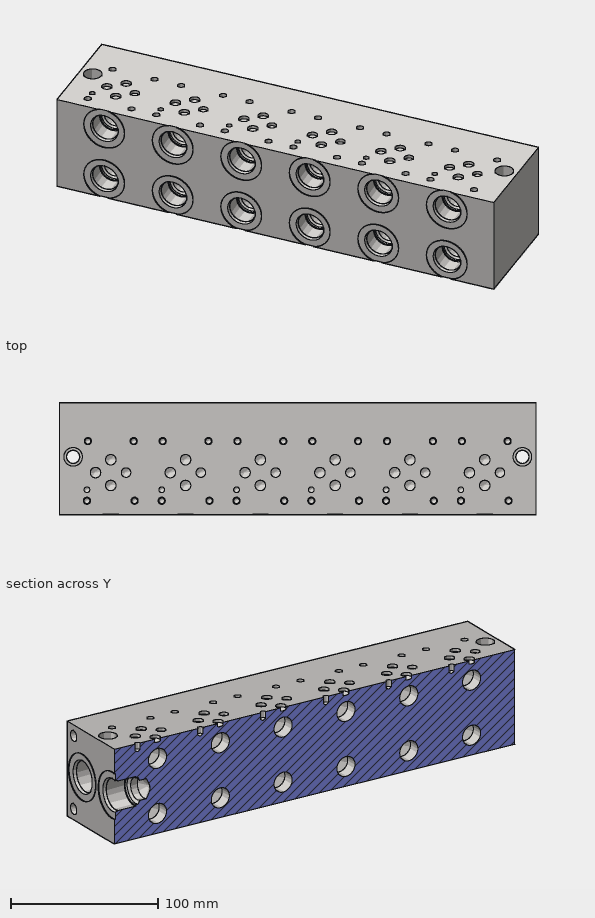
import cadquery as cq
import math

LENGTH = 324.0
WIDTH = 76.0
HEIGHT = 70.0

STATION_COUNT = 6
STATION_SPAN = 254.0
STATION_PITCH = STATION_SPAN / (STATION_COUNT - 1)

DRILL_POINT_ANGLE = 118.0

WORK_ROW_SPACING = 40.5
WORK_PORT_Z = WORK_ROW_SPACING / 2
WORK_SPOTFACE_DIAMETER = 30.0
WORK_SEAT_DIAMETER = 20.5
WORK_SEAT_BOTTOM_DIAMETER = 19.5
WORK_THREAD_DIAMETER = 19.0
WORK_THREAD_DEPTH = 14.2
WORK_MINOR_DIAMETER = 17.5
WORK_DRILL_DIAMETER = 14.2

TANK_PORT_Y = 19.5
PRESSURE_PORT_Y = -17.8
SUPPLY_SPOTFACE_DIAMETER = 34.0
SUPPLY_SEAT_DIAMETER = 24.0
SUPPLY_SEAT_BOTTOM_DIAMETER = 22.7
SUPPLY_THREAD_DIAMETER = 22.5
SUPPLY_THREAD_DEPTH = 17.5
SUPPLY_MINOR_DIAMETER = 20.5
SUPPLY_DRILL_DIAMETER = 16.0

SPOTFACE_DEPTH = 0.5
SEAT_DEPTH = 3.0
TAP_DRILL_ALLOWANCE = 1.5
PORT_DRILL_DEPTH = 26.0

CORNER_HOLE_Y = 29.8
CORNER_HOLE_Z = 27.0
CORNER_THREAD_DIAMETER = 7.8
CORNER_DRILL_DIAMETER = 6.5
CORNER_THREAD_DEPTH = 9.7
CORNER_DRILL_DEPTH = 13.0

REAR_BOLT_Y = 12.0
REAR_BOLT_HALF_SPAN = 15.5
FRONT_BOLT_OFFSET = 40.5
FRONT_BOLT_HALF_SPAN = 16.2
BOLT_THREAD_DIAMETER = 5.0
BOLT_DRILL_DIAMETER = 4.0
BOLT_THREAD_DEPTH = 9.7
BOLT_DRILL_DEPTH = 13.0
PIN_OFFSET = 33.0
PIN_DIAMETER = 4.0
PIN_DEPTH = 5.0
REAR_PASSAGE_OFFSET = 12.5
SIDE_PASSAGE_OFFSET = 21.5
FRONT_PASSAGE_OFFSET = 30.0
SIDE_PASSAGE_HALF_SPAN = 10.5
PASSAGE_DIAMETER = 7.0
SMALL_PASSAGE_DIAMETER = 6.5
PASSAGE_DEPTH = 2.3

MOUNTING_X = 152.5
MOUNTING_Y = 1.3
MOUNTING_DIAMETER = 8.7
COUNTERBORE_DIAMETER = 12.5
COUNTERBORE_DEPTH = 32.5

STATIONS = [-STATION_SPAN / 2 + i * STATION_PITCH for i in range(STATION_COUNT)]

TOP_FACE = cq.Plane(origin=(0, 0, HEIGHT / 2), xDir=(1, 0, 0), normal=(0, 0, 1))
FRONT_FACE = cq.Plane(origin=(0, -WIDTH / 2, 0), xDir=(1, 0, 0), normal=(0, -1, 0))
END_FACE = cq.Plane(origin=(-LENGTH / 2, 0, 0), xDir=(0, 1, 0), normal=(-1, 0, 0))


def drill_point_length(diameter):
    return diameter / 2 / math.tan(math.radians(DRILL_POINT_ANGLE / 2))


def drill_tool(steps):
    """Cutter pointing down from Z = 0, turned from (top diameter, bottom diameter, bottom depth)
    steps, with a drill point after the last one."""
    profile = [(0, 0)]
    depth = 0
    for top_diameter, bottom_diameter, bottom_depth in steps:
        step_start = (top_diameter / 2, -depth)
        if step_start != profile[-1]:
            profile.append(step_start)
        profile.append((bottom_diameter / 2, -bottom_depth))
        depth = bottom_depth
    tip_diameter = steps[-1][1]
    profile.append((0, -depth - drill_point_length(tip_diameter)))
    return cq.Workplane("XZ").polyline(profile).close().revolve(360, (0, 0), (0, 1)).val()


def straight_hole(diameter, depth):
    return drill_tool([(diameter, diameter, depth)])


def stepped_hole(thread_diameter, thread_depth, drill_diameter, drill_depth):
    """Threaded hole with a narrower drilled bottom."""
    return drill_tool([
        (thread_diameter, thread_diameter, thread_depth),
        (drill_diameter, drill_diameter, drill_depth),
    ])


def port(spotface_diameter, seat_diameter, seat_bottom_diameter,
         thread_diameter, thread_depth, minor_diameter, drill_diameter):
    """Threaded port: spotface, tapered seal seat, thread, tap drill with a conical end and a
    narrower drilled passage."""
    minor_depth = thread_depth + TAP_DRILL_ALLOWANCE
    shoulder_depth = minor_depth + drill_point_length(minor_diameter) - drill_point_length(drill_diameter)
    return drill_tool([
        (spotface_diameter, spotface_diameter, SPOTFACE_DEPTH),
        (seat_diameter, seat_bottom_diameter, SEAT_DEPTH),
        (thread_diameter, thread_diameter, thread_depth),
        (minor_diameter, minor_diameter, minor_depth),
        (minor_diameter, drill_diameter, shoulder_depth),
        (drill_diameter, drill_diameter, PORT_DRILL_DEPTH),
    ])


def cut_at(body, face, points, tool):
    """Cut one copy of the tool into the face at every point."""
    cutters = cq.Workplane(face).pushPoints(points).eachpoint(tool, True)
    return body.cut(cutters)


def cut_work_ports(body):
    points = [(x, z) for x in STATIONS for z in (-WORK_PORT_Z, WORK_PORT_Z)]
    work_port = port(
        WORK_SPOTFACE_DIAMETER, WORK_SEAT_DIAMETER, WORK_SEAT_BOTTOM_DIAMETER,
        WORK_THREAD_DIAMETER, WORK_THREAD_DEPTH, WORK_MINOR_DIAMETER, WORK_DRILL_DIAMETER,
    )
    return cut_at(body, FRONT_FACE, points, work_port)


def cut_end_face(body):
    supply_port = port(
        SUPPLY_SPOTFACE_DIAMETER, SUPPLY_SEAT_DIAMETER, SUPPLY_SEAT_BOTTOM_DIAMETER,
        SUPPLY_THREAD_DIAMETER, SUPPLY_THREAD_DEPTH, SUPPLY_MINOR_DIAMETER, SUPPLY_DRILL_DIAMETER,
    )
    body = cut_at(body, END_FACE, [(TANK_PORT_Y, 0), (PRESSURE_PORT_Y, 0)], supply_port)
    corners = [(y, z) for y in (-CORNER_HOLE_Y, CORNER_HOLE_Y) for z in (-CORNER_HOLE_Z, CORNER_HOLE_Z)]
    corner_hole = stepped_hole(
        CORNER_THREAD_DIAMETER, CORNER_THREAD_DEPTH, CORNER_DRILL_DIAMETER, CORNER_DRILL_DEPTH
    )
    return cut_at(body, END_FACE, corners, corner_hole)


def cut_valve_interfaces(body):
    front_bolt_y = REAR_BOLT_Y - FRONT_BOLT_OFFSET
    side_passage_y = REAR_BOLT_Y - SIDE_PASSAGE_OFFSET
    bolts = []
    pins = []
    passages = []
    small_passages = []
    for x in STATIONS:
        for side in (-1, 1):
            bolts.append((x + side * REAR_BOLT_HALF_SPAN, REAR_BOLT_Y))
            bolts.append((x + side * FRONT_BOLT_HALF_SPAN, front_bolt_y))
        pins.append((x - FRONT_BOLT_HALF_SPAN, REAR_BOLT_Y - PIN_OFFSET))
        passages.append((x, REAR_BOLT_Y - REAR_PASSAGE_OFFSET))
        passages.append((x, REAR_BOLT_Y - FRONT_PASSAGE_OFFSET))
        passages.append((x - SIDE_PASSAGE_HALF_SPAN, side_passage_y))
        small_passages.append((x + SIDE_PASSAGE_HALF_SPAN, side_passage_y))
    bolt_tool = stepped_hole(
        BOLT_THREAD_DIAMETER, BOLT_THREAD_DEPTH, BOLT_DRILL_DIAMETER, BOLT_DRILL_DEPTH
    )
    body = cut_at(body, TOP_FACE, bolts, bolt_tool)
    body = cut_at(body, TOP_FACE, pins, straight_hole(PIN_DIAMETER, PIN_DEPTH))
    body = cut_at(body, TOP_FACE, passages, straight_hole(PASSAGE_DIAMETER, PASSAGE_DEPTH))
    return cut_at(body, TOP_FACE, small_passages, straight_hole(SMALL_PASSAGE_DIAMETER, PASSAGE_DEPTH))


def cut_mounting_holes(body):
    return (
        body.copyWorkplane(cq.Workplane(TOP_FACE))
        .pushPoints([(-MOUNTING_X, MOUNTING_Y), (MOUNTING_X, MOUNTING_Y)])
        .cboreHole(MOUNTING_DIAMETER, COUNTERBORE_DIAMETER, COUNTERBORE_DEPTH)
    )


result = cq.Workplane("XY").box(LENGTH, WIDTH, HEIGHT)
result = cut_work_ports(result)
result = cut_end_face(result)
result = cut_valve_interfaces(result)
result = cut_mounting_holes(result)